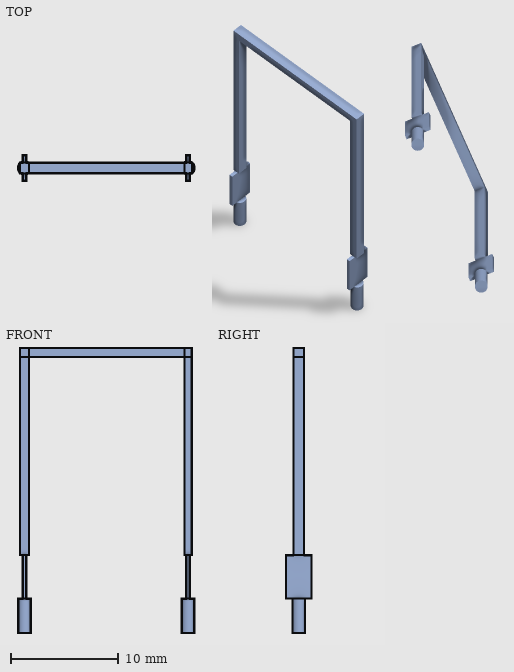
import cadquery as cq

overall_length = 16.45
overall_height = 26.58

pin_diameter = 1.2
pin_height = 3.2
pin_offset = (overall_length - pin_diameter) / 2

foil_thickness = 0.35
foil_width = 2.39
foil_height = 4.05

frame_depth = 1.0
bar_height = 0.85
left_leg_width = 0.85
right_leg_width = 0.7

foil_top = pin_height + foil_height
bar_bottom = overall_height - bar_height
leg_height = bar_bottom - foil_top

sides = [(-pin_offset, left_leg_width), (pin_offset, right_leg_width)]


def block(x_center, z_bottom, size_x, size_y, size_z):
    """Box centred in X and Y, resting on z_bottom."""
    return (
        cq.Workplane("XY")
        .box(size_x, size_y, size_z, centered=(True, True, False))
        .translate((x_center, 0, z_bottom))
    )


def make_terminal(x_center):
    """Round pin carrying a flat foil on its upper end."""
    pin = cq.Workplane("XY").center(x_center, 0).circle(pin_diameter / 2).extrude(pin_height)
    foil = block(x_center, pin_height, foil_thickness, foil_width, foil_height)
    return pin.union(foil)


def make_leg(x_center, width):
    """Upright leg between the foil and the corner block."""
    return block(x_center, foil_top, width, frame_depth, leg_height)


def make_corner(x_center, width):
    """Corner block joining a leg to the crossbar."""
    return block(x_center, bar_bottom, width, frame_depth, bar_height)


def make_crossbar():
    """Horizontal bar between the inner faces of the corner blocks."""
    left_end = -pin_offset + left_leg_width / 2
    right_end = pin_offset - right_leg_width / 2
    center = (left_end + right_end) / 2
    return block(center, bar_bottom, right_end - left_end, frame_depth, bar_height)


bodies = [make_crossbar().val()]
for side_x, leg_width in sides:
    bodies.append(make_terminal(side_x).val())
    bodies.append(make_leg(side_x, leg_width).val())
    bodies.append(make_corner(side_x, leg_width).val())

result = cq.Compound.makeCompound(bodies)